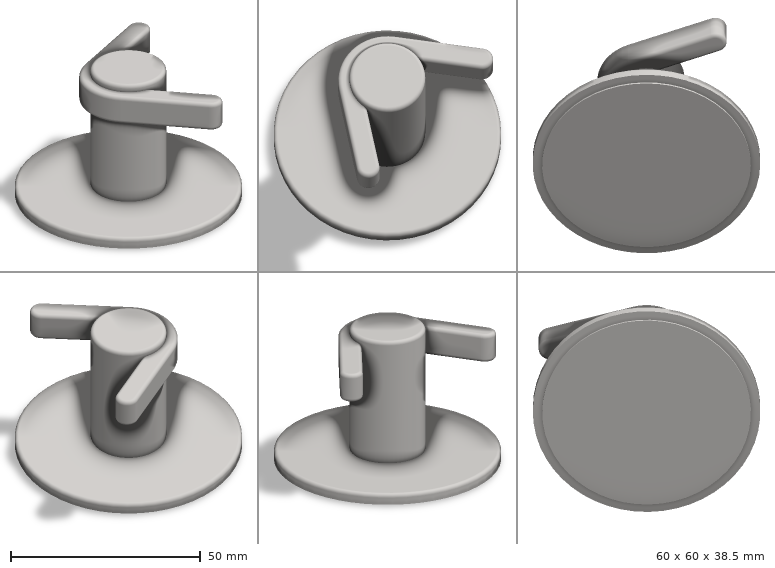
import math

import cadquery as cq

flange_diameter = 60.0
flange_thickness = 3.0
gasket_diameter = 55.0
gasket_thickness = 0.5
post_diameter = 20.0
post_top = 38.5
edge_radius = 1.0

handle_height = 8.0
handle_top_setback = 2.0
band_width = 6.0
hub_wall = 3.0
arm_angle = 35.0
arm_length = 23.65

flange_top = gasket_thickness + flange_thickness
handle_bottom = post_top - handle_top_setback - handle_height
hub_outer_radius = post_diameter / 2 + hub_wall
hub_inner_radius = hub_outer_radius - band_width


def make_gasket():
    """Thin disc below the flange."""
    return cq.Workplane("XY").circle(gasket_diameter / 2).extrude(gasket_thickness)


def make_flange():
    """Round plate with its upper rim rounded."""
    plate = cq.Workplane("XY").workplane(offset=gasket_thickness)
    plate = plate.circle(flange_diameter / 2).extrude(flange_thickness)
    return plate.faces(">Z").edges().fillet(edge_radius)


def make_post():
    """Plain cylinder standing on the flange, with its top edge rounded."""
    post = cq.Workplane("XY").workplane(offset=flange_top)
    post = post.circle(post_diameter / 2).extrude(post_top - flange_top)
    return post.faces(">Z").edges().fillet(edge_radius)


def arm_point(along, across):
    """Point on the +X arm: along the arm from the hub bend, across from the post axis."""
    sine = math.sin(math.radians(arm_angle))
    cosine = math.cos(math.radians(arm_angle))
    return (along * sine + across * cosine, along * cosine - across * sine)


def mirrored(point):
    """Matching point on the -X arm."""
    return (-point[0], point[1])


def make_handle():
    """V-shaped band with rounded tips and rims, bored for the post."""
    outer_bend = arm_point(0, hub_outer_radius)
    outer_end = arm_point(arm_length, hub_outer_radius)
    tip = arm_point(arm_length + band_width / 2, hub_outer_radius - band_width / 2)
    inner_end = arm_point(arm_length, hub_inner_radius)
    inner_bend = arm_point(0, hub_inner_radius)

    band = (
        cq.Workplane("XY")
        .workplane(offset=handle_bottom)
        .moveTo(*outer_bend)
        .lineTo(*outer_end)
        .threePointArc(tip, inner_end)
        .lineTo(*inner_bend)
        .threePointArc((0, -hub_inner_radius), mirrored(inner_bend))
        .lineTo(*mirrored(inner_end))
        .threePointArc(mirrored(tip), mirrored(outer_end))
        .lineTo(*mirrored(outer_bend))
        .threePointArc((0, -hub_outer_radius), outer_bend)
        .close()
        .extrude(handle_height)
    )
    band = band.faces("<Z or >Z").edges().fillet(edge_radius)

    bore = cq.Workplane("XY").workplane(offset=handle_bottom)
    bore = bore.circle(post_diameter / 2).extrude(handle_height)
    return band.cut(bore).solids()


gasket = make_gasket()
flange = make_flange()
post = make_post()
handle = make_handle()

result = cq.Compound.makeCompound([gasket.val(), flange.val(), post.val(), handle.val()])